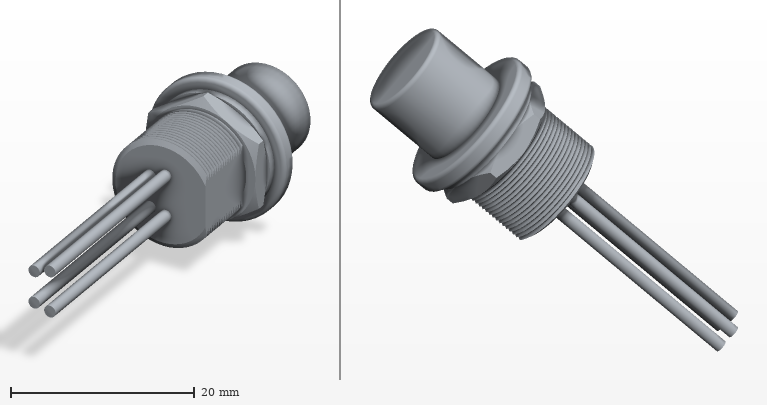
import cadquery as cq
import math


TOTAL_LENGTH = 47.75

BARREL_RADIUS = 5.55
BARREL_LENGTH = 9.25
BARREL_EDGE_FILLET = 0.5
FLANGE_DIAMETER = 17.45
FLANGE_THICKNESS = 2.05
FLANGE_FILLET = 0.5
SHANK_LENGTH = 11.45
SHANK_FLAT_X = 5.4
THREAD_RADIUS = 6.6
THREAD_DEPTH = 0.435
THREAD_FLANK_ANGLE = 30.0
SHANK_END_RADIUS = 5.95
NECK_RADIUS = 5.83

FILLING_RADIUS = 5.0

WASHER_RADIUS = 7.4
WASHER_THICKNESS = 0.95
NUT_SIDES = 6
NUT_ACROSS_FLATS = 14.0
NUT_THICKNESS = 2.45
NUT_CHAMFER_ANGLE = 35.0

WIRE_RADIUS = 0.7
WIRE_CIRCLE_RADIUS = 2.55
WIRE_ANGLES = (81.3, 129.3, 230.7, 278.7)

BARREL_END_Y = FLANGE_THICKNESS + BARREL_LENGTH
NUT_BACK_Y = -WASHER_THICKNESS
NUT_FRONT_Y = NUT_BACK_Y - NUT_THICKNESS
WIRE_LENGTH = TOTAL_LENGTH - BARREL_END_Y - SHANK_LENGTH
FLANK_SLOPE = math.tan(math.radians(THREAD_FLANK_ANGLE))
THREAD_PITCH = 2 * THREAD_DEPTH * FLANK_SLOPE
THREAD_ROOT_RADIUS = THREAD_RADIUS - THREAD_DEPTH
END_CONE_LENGTH = (THREAD_RADIUS - SHANK_END_RADIUS) * FLANK_SLOPE
LAST_CREST_Y = -SHANK_LENGTH + END_CONE_LENGTH
GROOVE_COUNT = math.floor((NUT_FRONT_Y - LAST_CREST_Y) / THREAD_PITCH)


def cylinder(radius, start_y, end_y):
    """Solid cylinder on the Y axis between two Y positions."""
    plane = cq.Workplane("XZ", origin=(0, start_y, 0))
    return plane.circle(radius).extrude(start_y - end_y)


def revolve_about_y(profile):
    """Full turn of a closed profile drawn as (Y, radius) points."""
    return profile.close().revolve(360, (0, 0, 0), (1, 0, 0))


def make_barrel_and_flange():
    barrel = cylinder(BARREL_RADIUS, 0, BARREL_END_Y).faces(">Y").edges().fillet(BARREL_EDGE_FILLET)
    flange = cylinder(FLANGE_DIAMETER / 2, 0, FLANGE_THICKNESS).edges().fillet(FLANGE_FILLET)
    return flange.union(barrel)


def make_shank():
    """Shank with sharp V-thread rings; a plain neck carries the washer and the nut."""
    profile = cq.Workplane("YZ").moveTo(0, 0).lineTo(-SHANK_LENGTH, 0)
    profile = profile.lineTo(-SHANK_LENGTH, SHANK_END_RADIUS).lineTo(LAST_CREST_Y, THREAD_RADIUS)
    for groove in range(GROOVE_COUNT):
        crest_y = LAST_CREST_Y + groove * THREAD_PITCH
        profile = profile.lineTo(crest_y + THREAD_PITCH / 2, THREAD_ROOT_RADIUS)
        profile = profile.lineTo(crest_y + THREAD_PITCH, THREAD_RADIUS)
    profile = profile.lineTo(NUT_FRONT_Y, THREAD_RADIUS).lineTo(NUT_FRONT_Y, NECK_RADIUS)
    shank = revolve_about_y(profile.lineTo(0, NECK_RADIUS))

    flat_side = cq.Workplane("XY").box(
        THREAD_RADIUS, SHANK_LENGTH, 2 * THREAD_RADIUS, centered=(False, False, True)
    )
    return shank.cut(flat_side.translate((SHANK_FLAT_X, -SHANK_LENGTH, 0)))


def make_filling():
    """Round filling of the shank bore, flush with the shank end."""
    return cylinder(FILLING_RADIUS, -SHANK_LENGTH, 0)


def make_housing():
    return make_barrel_and_flange().union(make_shank()).cut(make_filling())


def make_washer():
    washer = cylinder(WASHER_RADIUS, NUT_BACK_Y, 0)
    return washer.cut(cylinder(NECK_RADIUS, NUT_BACK_Y, 0))


def make_nut():
    """Hex nut with flats on the X sides and both faces chamfered down to the flats."""
    face_radius = NUT_ACROSS_FLATS / 2
    corner_radius = face_radius / math.cos(math.pi / NUT_SIDES)
    chamfer_length = (corner_radius - face_radius) * math.tan(math.radians(NUT_CHAMFER_ANGLE))

    hexagon = cq.Workplane("XZ", origin=(0, NUT_BACK_Y, 0)).transformed(rotate=(0, 0, 90))
    hexagon = hexagon.polygon(NUT_SIDES, 2 * corner_radius).extrude(NUT_THICKNESS)
    envelope = revolve_about_y(
        cq.Workplane("YZ")
        .moveTo(NUT_BACK_Y, 0)
        .lineTo(NUT_BACK_Y, face_radius)
        .lineTo(NUT_BACK_Y - chamfer_length, corner_radius)
        .lineTo(NUT_FRONT_Y + chamfer_length, corner_radius)
        .lineTo(NUT_FRONT_Y, face_radius)
        .lineTo(NUT_FRONT_Y, 0)
    )
    return hexagon.intersect(envelope).cut(cylinder(NECK_RADIUS, NUT_FRONT_Y, NUT_BACK_Y))


def make_wire(angle):
    """Wire standing on the end face of the filling, at an angle from +X toward +Z."""
    x = WIRE_CIRCLE_RADIUS * math.cos(math.radians(angle))
    z = WIRE_CIRCLE_RADIUS * math.sin(math.radians(angle))
    wire = cylinder(WIRE_RADIUS, -SHANK_LENGTH - WIRE_LENGTH, -SHANK_LENGTH)
    return wire.translate((x, 0, z))


housing = make_housing()
filling = make_filling()
washer = make_washer()
nut = make_nut()
wires = [make_wire(angle) for angle in WIRE_ANGLES]

result = cq.Compound.makeCompound(
    [housing.val(), filling.val(), washer.val(), nut.val(), *[wire.val() for wire in wires]]
)